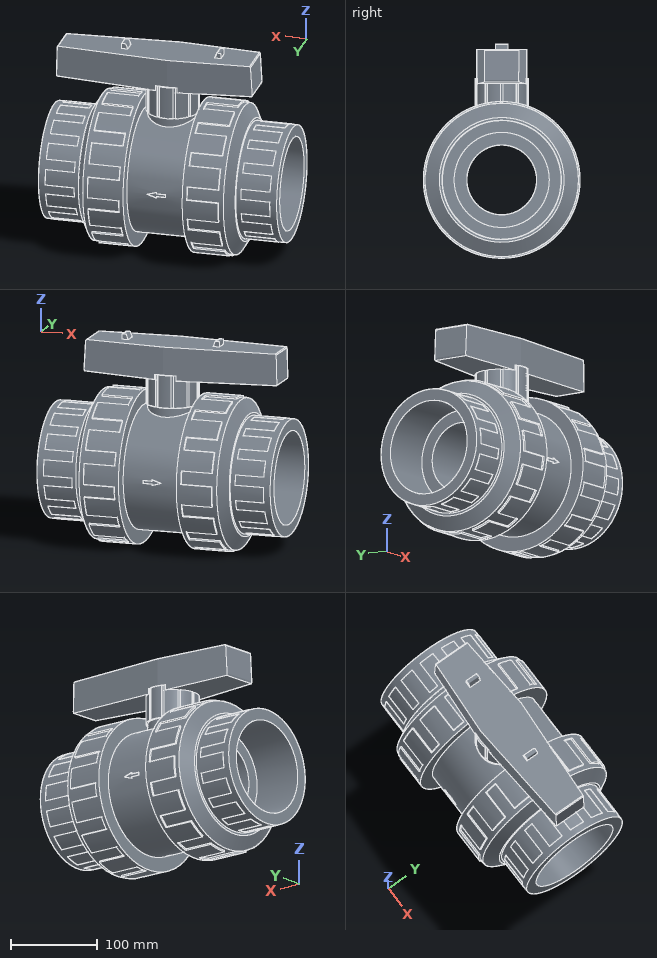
import cadquery as cq
import math

OVERALL_LENGTH = 284.0
HALF_LENGTH = OVERALL_LENGTH / 2

PIPE_RADIUS = 68.5
PIPE_PAD_RADIUS = 68.7
PIPE_PAD_START = 99.5
PIPE_PAD_END = 133.8
SOCKET_RADIUS = 54.8
SOCKET_DEPTH = 61.0
BORE_RADIUS = 40.0

NUT_RADIUS = 90.3
NUT_GAP_RADIUS = 88.3
NUT_INNER_FACE = 35.2
NUT_GAP_START = 40.5
NUT_PAD_END = 77.8
NUT_CONE_START = 83.8
NUT_CONE_END = 93.5
NUT_CONE_END_RADIUS = 71.9

GRIP_COUNT = 14
GRIP_GAP_ANGLE = 10.0
GRIP_OFFSET_ANGLE = -8.0

BODY_RADIUS = 73.3
ARROW_RADIUS = 73.8
ARROW_HALF_LENGTH = 10.8
ARROW_HEAD_HALF_WIDTH = 3.5
ARROW_SHAFT_HALF_WIDTH = 1.7

STEM_RADIUS = 29.0
HUB_RADIUS = 31.0
HUB_BOTTOM = 78.5
HUB_TOP = 117.0
FLUTE_COUNT = 10
FLUTE_WIDTH = 2.8
FLUTE_DEPTH = 0.9

HANDLE_TOP = 150.2
HANDLE_LEFT_TOP = -98.5
HANDLE_LEFT_BOTTOM = -100.5
HANDLE_RIGHT_TOP = 132.5
HANDLE_RIGHT_BOTTOM = 133.5
HANDLE_MIDDLE = -1.5
HANDLE_END_BOTTOM = 112.7
HANDLE_MIDDLE_BOTTOM = 110.5
HANDLE_TOP_CUT = 1.0
HANDLE_BOTTOM_CUT_HEIGHT = 2.3
HANDLE_BOTTOM_CUT_LENGTH = 0.5
HANDLE_MIDDLE_HALF_WIDTH = 29.0
HANDLE_LEFT_HALF_WIDTH = 22.2
HANDLE_RIGHT_HALF_WIDTH = 19.5

LUG_OUTER = 59.4
LUG_INNER_TOP = 54.2
LUG_INNER_BOTTOM = 51.7
LUG_WIDTH = 14.8
LUG_TOP = 156.5
LUG_EDGE_RADIUS = 0.9


def cylinder_x(radius, start, end):
    """Cylinder along X between two stations."""
    return cq.Workplane("YZ", origin=(start, 0, 0)).circle(radius).extrude(end - start)


def grip_gaps(start, end, floor_radius, pad_radius):
    """Evenly spaced shallow sectors to cut from a ring, leaving raised pads."""
    reach = 2 * pad_radius
    half_width = reach * math.tan(math.radians(GRIP_GAP_ANGLE / 2))
    sectors = cq.Workplane("YZ")
    for index in range(GRIP_COUNT):
        angle = GRIP_OFFSET_ANGLE + index * 360 / GRIP_COUNT
        wedge = (
            cq.Workplane("YZ", origin=(start, 0, 0))
            .polyline([(0, 0), (-reach, -half_width), (-reach, half_width)])
            .close()
            .extrude(end - start)
            .rotate((0, 0, 0), (1, 0, 0), angle)
        )
        sectors.add(wedge)
    floor = cylinder_x(floor_radius, start, end)
    return sectors.combine().cut(floor)


def make_end():
    """Pipe end and union nut on the +X side."""
    profile = [
        (0, 0),
        (0, BODY_RADIUS),
        (NUT_INNER_FACE, BODY_RADIUS),
        (NUT_INNER_FACE, NUT_RADIUS),
        (NUT_PAD_END, NUT_RADIUS),
        (NUT_PAD_END, NUT_GAP_RADIUS),
        (NUT_CONE_START, NUT_GAP_RADIUS),
        (NUT_CONE_END, NUT_CONE_END_RADIUS),
        (NUT_CONE_END, PIPE_PAD_RADIUS),
        (PIPE_PAD_END, PIPE_PAD_RADIUS),
        (PIPE_PAD_END, PIPE_RADIUS),
        (HALF_LENGTH, PIPE_RADIUS),
        (HALF_LENGTH, 0),
    ]
    end = cq.Workplane("XY").polyline(profile).close().revolve(360, (0, 0, 0), (1, 0, 0))
    end = end.cut(grip_gaps(NUT_GAP_START, NUT_PAD_END, NUT_GAP_RADIUS, NUT_RADIUS))
    end = end.cut(grip_gaps(PIPE_PAD_START, PIPE_PAD_END, PIPE_RADIUS, PIPE_PAD_RADIUS))
    return end


def make_arrows():
    """Raised flow arrows pointing along +X on the front and back of the body."""
    outline = [
        (-ARROW_HALF_LENGTH, -ARROW_SHAFT_HALF_WIDTH),
        (0, -ARROW_SHAFT_HALF_WIDTH),
        (0, -ARROW_HEAD_HALF_WIDTH),
        (ARROW_HALF_LENGTH, 0),
        (0, ARROW_HEAD_HALF_WIDTH),
        (0, ARROW_SHAFT_HALF_WIDTH),
        (-ARROW_HALF_LENGTH, ARROW_SHAFT_HALF_WIDTH),
    ]
    prism = cq.Workplane("XZ").polyline(outline).close().extrude(NUT_RADIUS, both=True)
    return prism.intersect(cylinder_x(ARROW_RADIUS, -ARROW_HALF_LENGTH, ARROW_HALF_LENGTH))


def make_stem():
    """Plain stem rising from the body, topped by the fluted hub."""
    stem = cq.Workplane("XY").circle(STEM_RADIUS).extrude(HUB_BOTTOM)
    hub = cq.Workplane("XY", origin=(0, 0, HUB_BOTTOM)).circle(HUB_RADIUS).extrude(HUB_TOP - HUB_BOTTOM)
    flutes = (
        cq.Workplane("XY", origin=(0, 0, HUB_BOTTOM))
        .polarArray(HUB_RADIUS, 0, 360, FLUTE_COUNT)
        .rect(2 * FLUTE_DEPTH, FLUTE_WIDTH)
        .extrude(HUB_TOP - HUB_BOTTOM)
    )
    return stem.union(hub.cut(flutes))


def make_handle():
    """Solid handle: the side profile, with chamfered end corners, cut by the plan taper."""
    side = (
        cq.Workplane("XZ")
        .polyline([
            (HANDLE_LEFT_TOP, HANDLE_TOP - HANDLE_TOP_CUT),
            (HANDLE_LEFT_TOP + HANDLE_TOP_CUT, HANDLE_TOP),
            (HANDLE_RIGHT_TOP - HANDLE_TOP_CUT, HANDLE_TOP),
            (HANDLE_RIGHT_TOP, HANDLE_TOP - HANDLE_TOP_CUT),
            (HANDLE_RIGHT_BOTTOM, HANDLE_END_BOTTOM + HANDLE_BOTTOM_CUT_HEIGHT),
            (HANDLE_RIGHT_BOTTOM - HANDLE_BOTTOM_CUT_LENGTH, HANDLE_END_BOTTOM),
            (HANDLE_MIDDLE, HANDLE_MIDDLE_BOTTOM),
            (HANDLE_LEFT_BOTTOM + HANDLE_BOTTOM_CUT_LENGTH, HANDLE_END_BOTTOM),
            (HANDLE_LEFT_BOTTOM, HANDLE_END_BOTTOM + HANDLE_BOTTOM_CUT_HEIGHT),
        ])
        .close()
        .extrude(HANDLE_MIDDLE_HALF_WIDTH, both=True)
    )
    plan = (
        cq.Workplane("XY")
        .polyline([
            (HANDLE_LEFT_BOTTOM, -HANDLE_LEFT_HALF_WIDTH),
            (HANDLE_MIDDLE, -HANDLE_MIDDLE_HALF_WIDTH),
            (HANDLE_RIGHT_BOTTOM, -HANDLE_RIGHT_HALF_WIDTH),
            (HANDLE_RIGHT_BOTTOM, HANDLE_RIGHT_HALF_WIDTH),
            (HANDLE_MIDDLE, HANDLE_MIDDLE_HALF_WIDTH),
            (HANDLE_LEFT_BOTTOM, HANDLE_LEFT_HALF_WIDTH),
        ])
        .close()
        .extrude(HANDLE_TOP)
    )
    return side.intersect(plan)


def make_lug():
    """Lug on the +X half of the handle, sloped on its inner side and rounded along the top."""
    return (
        cq.Workplane("XZ")
        .polyline([
            (LUG_INNER_BOTTOM, HANDLE_TOP),
            (LUG_OUTER, HANDLE_TOP),
            (LUG_OUTER, LUG_TOP),
            (LUG_INNER_TOP, LUG_TOP),
        ])
        .close()
        .extrude(LUG_WIDTH / 2, both=True)
        .faces(">Z")
        .edges("|Y")
        .fillet(LUG_EDGE_RADIUS)
    )


right_end = make_end()
left_end = right_end.rotate((0, 0, 0), (0, 1, 0), 180)
right_lug = make_lug()
left_lug = right_lug.mirror("YZ")

result = right_end.union(left_end).union(make_arrows()).union(make_stem())
result = result.union(make_handle()).union(right_lug).union(left_lug)

result = result.cut(cylinder_x(BORE_RADIUS, -HALF_LENGTH, HALF_LENGTH))
result = result.cut(cylinder_x(SOCKET_RADIUS, HALF_LENGTH - SOCKET_DEPTH, HALF_LENGTH))
result = result.cut(cylinder_x(SOCKET_RADIUS, -HALF_LENGTH, SOCKET_DEPTH - HALF_LENGTH))